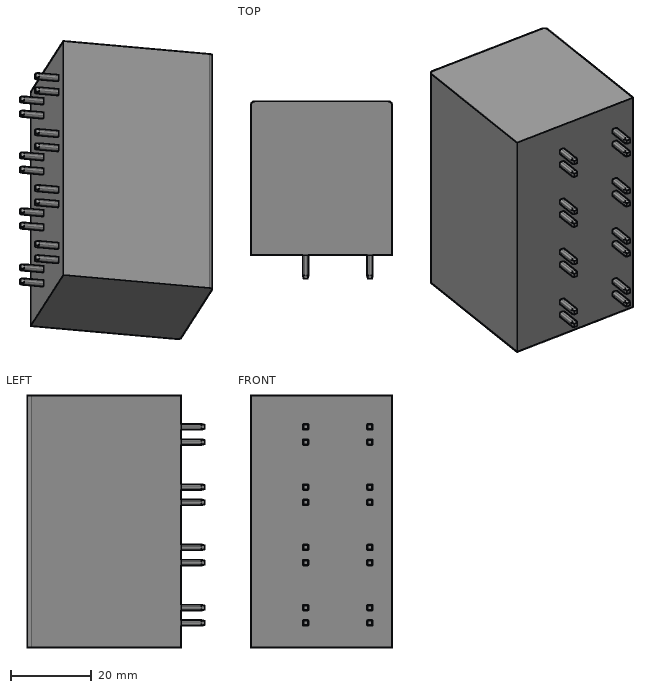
import cadquery as cq

body_width = 35.2
body_height = 62.75
overall_depth = 44.2
pin_length = 5.9
body_depth = overall_depth - pin_length
back_edge_radius = 1.0

pin_size = 1.5
pin_corner_radius = 0.45
tip_size = 1.0
tip_length = 0.9

column_x = (-3.95, 12.05)
pair_count = 4
pair_pitch = 15.0
pin_gap = 3.8
layout_center_z = -0.825


def make_body():
    block = cq.Workplane("XY").box(
        body_width, body_depth, body_height, centered=(True, False, True)
    )
    return block.edges("|Z and >Y").fillet(back_edge_radius)


def make_pin():
    """One pin rooted at the origin and pointing along -Y."""
    bar = cq.Workplane("XZ").rect(pin_size, pin_size).extrude(pin_length)
    bar = bar.edges("|Y").fillet(pin_corner_radius)
    shank_length = pin_length - tip_length
    shank = cq.Workplane("XZ").rect(pin_size, pin_size).extrude(shank_length)
    tip = (
        cq.Workplane("XZ", origin=(0, -shank_length, 0))
        .rect(pin_size, pin_size)
        .workplane(offset=tip_length)
        .rect(tip_size, tip_size)
        .loft(ruled=True)
    )
    return bar.intersect(shank.union(tip))


def pin_heights():
    """Z of every pin in a column, from the bottom up."""
    heights = []
    for pair in range(pair_count):
        pair_z = layout_center_z + (pair - (pair_count - 1) / 2) * pair_pitch
        heights.append(pair_z - pin_gap / 2)
        heights.append(pair_z + pin_gap / 2)
    return heights


result = make_body()
pin = make_pin()
for x in column_x:
    for z in pin_heights():
        result = result.union(pin.translate((x, 0, z)))